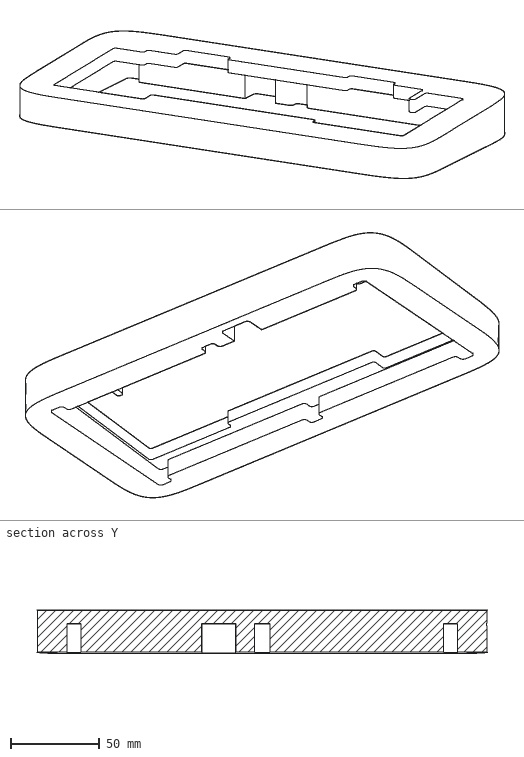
import cadquery as cq
import math

length = 259.0
width = 130.5
back_height = 24.5
underside_tilt = 3.0
corner_reach = 32.0
corner_pull = 0.81

plate_thickness = 7.8
opening_half_x = 109.5
opening_half_y = 45.5
step = 4.7
column = 18.7
left_notch_end = -42.7
right_notch_start = 33.0
right_notch_end = 62.0
rib_left = 81.5
rib_width = 4.0
rib_tip_y = 21.8
front_ledge_half = 52.0
opening_fillet = 1.5

pocket_clearance_x = 1.5
pocket_clearance_y = 0.8
relief_width = 8.8
relief_depth = 6.0
middle_relief_fillet = 1.5
pocket_fillet = 2.2

slot_left = -34.2
slot_right = -15.0
slot_depth = 13.0

pocket_half_x = opening_half_x + pocket_clearance_x
pocket_half_y = opening_half_y + pocket_clearance_y
pocket_height = back_height - plate_thickness


def prism(x_size, y_size, x_center=0.0, y_center=0.0):
    """Upright block that fills the height of the pocket."""
    block = cq.Workplane("XY").rect(x_size, y_size).extrude(pocket_height)
    return block.translate((x_center, y_center, 0))


def outer_body():
    """Block with smooth squarish corners and a sloping underside."""
    half_x = length / 2
    half_y = width / 2
    flat_x = half_x - corner_reach
    flat_y = half_y - corner_reach
    handle_x = flat_x + corner_pull * corner_reach
    handle_y = flat_y + corner_pull * corner_reach

    quarter = [(half_x, flat_y), (half_x, handle_y), (handle_x, half_y), (flat_x, half_y)]
    outline = cq.Workplane("XY").moveTo(half_x, -flat_y)
    for sign_x, sign_y in [(1, 1), (-1, 1), (-1, -1), (1, -1)]:
        curve = [(sign_x * x, sign_y * y) for x, y in quarter]
        if sign_x != sign_y:
            curve.reverse()
        outline = outline.lineTo(*curve[0]).bezier(curve[1:], includeCurrent=True)
    block = outline.close().extrude(back_height)

    underside_rise = width * math.tan(math.radians(underside_tilt))
    wedge = (
        cq.Workplane("YZ")
        .polyline([(-half_y, 0), (half_y, 0), (-half_y, underside_rise)])
        .close()
        .extrude(half_x, both=True)
    )
    return block.cut(wedge)


def plate_opening():
    """Stepped opening with a thin rib reaching in from the back edge."""
    back = opening_half_y
    front = -opening_half_y
    left = -opening_half_x
    right = opening_half_x
    rib_right = rib_left + rib_width
    corners = [
        (left, front),
        (left, back - 3 * step),
        (left + column, back - 3 * step),
        (left + column, back - 2 * step),
        (left + 2 * column, back - 2 * step),
        (left + 2 * column, back),
        (left_notch_end, back),
        (left_notch_end, back - step),
        (right_notch_start, back - step),
        (right_notch_start, back),
        (right_notch_end, back),
        (right_notch_end, back - step),
        (rib_left, back - step),
        (rib_left, rib_tip_y),
        (rib_right, rib_tip_y),
        (rib_right, back - 2 * step),
        (right, back - 2 * step),
        (right, front + step),
        (front_ledge_half, front + step),
        (front_ledge_half, front + 2 * step),
        (-front_ledge_half, front + 2 * step),
        (-front_ledge_half, front),
    ]
    opening = cq.Workplane("XY").polyline(corners).close().extrude(back_height)
    return opening.edges("|Z").fillet(opening_fillet)


def pocket():
    """Rectangular pocket with reliefs at the ends and middle of both long walls."""
    end_x = pocket_half_x - relief_width / 2
    cavity = prism(2 * pocket_half_x, 2 * pocket_half_y)
    relief_length = 2 * (pocket_half_y + relief_depth)
    for x, fillet in [(-end_x, pocket_fillet), (0, middle_relief_fillet), (end_x, pocket_fillet)]:
        relief = prism(relief_width, relief_length, x).edges("|Z").fillet(fillet)
        cavity = cavity.union(relief)

    search_y = pocket_half_y + relief_depth / 4
    mouths = cq.selectors.BoxSelector((-end_x, -search_y, 0), (end_x, search_y, pocket_height))
    return cavity.edges("|Z").edges(mouths).fillet(pocket_fillet)


def back_slot():
    """Slot cut into the back wall, rounded at its inner end only."""
    slot_end = pocket_half_y + slot_depth
    slot_center_x = (slot_left + slot_right) / 2
    slot = prism(slot_right - slot_left, slot_end, slot_center_x, slot_end / 2)
    return slot.edges("|Z and >Y").fillet(pocket_fillet)


result = outer_body().cut(plate_opening()).cut(pocket()).cut(back_slot())